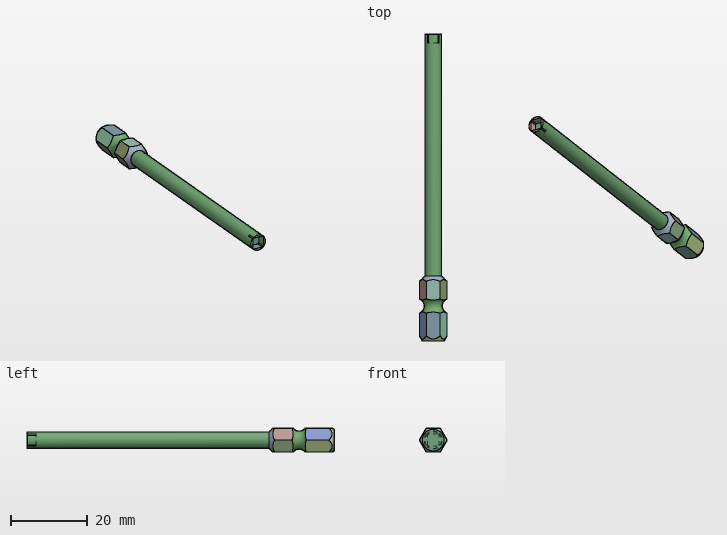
import cadquery as cq
import math

total_length = 80.0
shank_diameter = 4.35

hex_across_flats = 6.3
hex_across_corners = hex_across_flats / math.cos(math.radians(30))
hex_end = 17.0

tip_diameter = 5.65
tip_chamfer_angle = 30.0

shoulder_angle = 45.0

groove_position = 9.15
groove_diameter = 4.75
groove_width = 3.7

socket_across_flats = 3.1
socket_corner_diameter = 4.0
socket_depth = 2.35

shank_radius = shank_diameter / 2
corner_radius = hex_across_corners / 2
tip_radius = tip_diameter / 2
tip_chamfer_length = (corner_radius - tip_radius) / math.tan(math.radians(tip_chamfer_angle))
shoulder_length = (corner_radius - shank_radius) / math.tan(math.radians(shoulder_angle))
shoulder_start = hex_end - shoulder_length


def revolve_about_y(profile):
    """Turn a closed XY profile (X is the radius) fully about the Y axis."""
    return profile.close().revolve(360, (0, 0, 0), (0, 1, 0))


def hexagonal_bar():
    """Plain hexagonal bar from the drive end to the start of the shank."""
    bar = cq.Workplane("XZ").polygon(6, hex_across_corners)
    return bar.extrude(-hex_end)


def turned_envelope():
    """Turned outline giving the end chamfer, ball groove and shoulder cone."""
    groove_radius = groove_diameter / 2
    groove_start = groove_position - groove_width / 2
    groove_finish = groove_position + groove_width / 2
    profile = (
        cq.Workplane("XY")
        .lineTo(tip_radius, 0)
        .lineTo(corner_radius, tip_chamfer_length)
        .lineTo(corner_radius, groove_start)
        .threePointArc((groove_radius, groove_position), (corner_radius, groove_finish))
        .lineTo(corner_radius, shoulder_start)
        .lineTo(shank_radius, hex_end)
        .lineTo(0, hex_end)
    )
    return revolve_about_y(profile)


def round_shank():
    """Cylindrical shank from the shoulder to the plain far end."""
    shank = cq.Workplane("XZ", origin=(0, hex_end, 0)).circle(shank_radius)
    return shank.extrude(-(total_length - hex_end))


def square_socket():
    """Blind square recess with clipped corners, sunk from the far end."""
    far_end = cq.Workplane("XZ", origin=(0, total_length, 0))
    square = far_end.rect(socket_across_flats, socket_across_flats).extrude(socket_depth)
    corner_limit = far_end.circle(socket_corner_diameter / 2).extrude(socket_depth)
    return square.intersect(corner_limit)


drive = hexagonal_bar().intersect(turned_envelope())
result = drive.union(round_shank()).cut(square_socket())